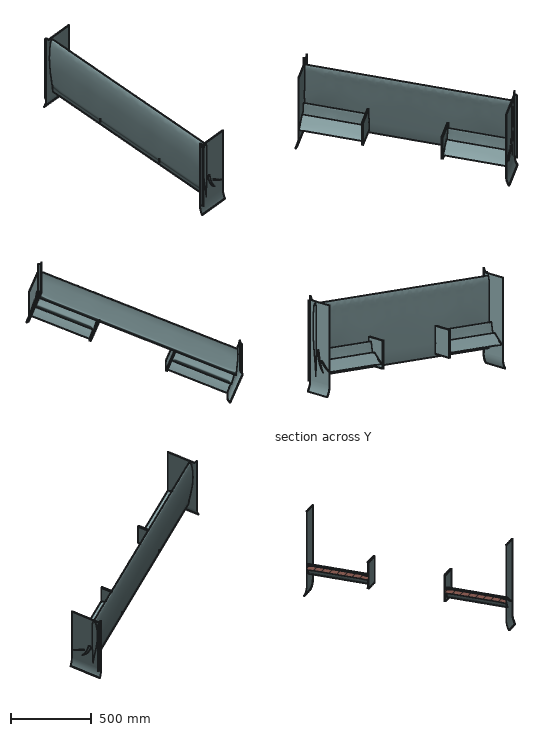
import cadquery as cq

SPAN = 1374.0
CHORD = 203.0
HEIGHT = 607.0
half_span = SPAN / 2
front_y = -CHORD / 2
rear_y = CHORD / 2
top_z = HEIGHT / 2
bottom_z = -HEIGHT / 2

plate_thickness = 4.0
plate_offset = 22.0
inner_x = half_span - plate_offset
outer_x = inner_x + plate_thickness
horn_height = 26.0
horn_length = 19.0
horn_tip_length = 4.0
plate_top_z = top_z - horn_height
foot_height = 70.0
fold_z = bottom_z + foot_height
knee_depth = 20.0
knee_lean = 1.0

strip_depth = 12.0
strip_thickness = 3.0
lip_width = 4.0
lip_y = front_y + strip_depth - strip_thickness

inner_plate_x = 261.0
inner_plate_thickness = 10.0
inner_plate_front_y = -41.0
inner_plate_bottom_z = -179.0
inner_plate_top_z = 0.0

MAIN_SECTION = [[
    (-44.0, -198.0), (-40.0, -56.0), (-38.0, 82.0), (-40.0, 210.0), (-44.0, 253.0), (-51.0, 264.0),
    (-60.0, 254.0), (-66.0, 236.0), (-73.0, 169.0), (-73.0, 65.0), (-63.0, -40.0), (-51.0, -132.0), (-44.0, -198.0),
]]
MIDDLE_FLAP_SECTION = [[
    (32.0, -164.0), (7.0, -115.0), (-5.0, -73.0), (-11.0, -44.0), (-19.0, -26.0),
    (-27.0, -37.0), (-26.0, -56.0), (-12.0, -99.0), (8.0, -137.0), (32.0, -164.0),
]]
REAR_FLAP_SECTION = [
    [(rear_y, -148.0), (78.0, -136.0), (51.0, -114.0), (19.0, -88.0)],
    [(18.0, -99.0), (41.0, -118.0), (70.0, -136.0), (rear_y, -148.0)],
]


def wing(section, start_x, end_x):
    """Extrude a wing section along X, joining separate curves with straight lines."""
    outline = cq.Workplane("YZ", origin=(start_x, 0, 0)).moveTo(*section[0][0])
    for index, curve in enumerate(section):
        if index > 0:
            outline = outline.lineTo(*curve[0])
        outline = outline.spline(curve[1:], includeCurrent=True)
    return outline.close().extrude(end_x - start_x)


def end_plate():
    """Right end plate with its front horn, flared foot and angled strip."""
    sheet = (
        cq.Workplane("YZ", origin=(inner_x, 0, 0))
        .moveTo(rear_y, fold_z)
        .lineTo(rear_y, plate_top_z)
        .lineTo(front_y + horn_length, plate_top_z)
        .lineTo(front_y + horn_tip_length, top_z)
        .lineTo(front_y, top_z)
        .lineTo(front_y, fold_z)
        .close()
        .extrude(plate_thickness)
    )
    knee_z = fold_z - knee_depth
    foot = (
        cq.Workplane("XZ", origin=(0, rear_y, 0))
        .moveTo(inner_x, fold_z)
        .threePointArc((inner_x + knee_lean, knee_z), (half_span - plate_thickness, bottom_z))
        .lineTo(half_span, bottom_z)
        .threePointArc((outer_x + knee_lean, knee_z), (outer_x, fold_z))
        .close()
        .extrude(CHORD)
    )
    strip = (
        cq.Workplane("XY", origin=(0, 0, fold_z))
        .moveTo(inner_x, front_y)
        .lineTo(outer_x, front_y)
        .lineTo(half_span - lip_width, lip_y)
        .lineTo(half_span, lip_y)
        .lineTo(half_span, lip_y + strip_thickness)
        .lineTo(half_span - lip_width, lip_y + strip_thickness)
        .lineTo(inner_x, front_y + strip_thickness)
        .close()
        .extrude(plate_top_z - fold_z)
    )
    return sheet.union(foot).union(strip)


def inner_plate():
    """Right inner plate joining the flaps to the main wing."""
    return cq.Workplane("XY").box(
        inner_plate_thickness,
        rear_y - inner_plate_front_y,
        inner_plate_top_z - inner_plate_bottom_z,
        centered=False,
    ).translate((inner_plate_x - inner_plate_thickness, inner_plate_front_y, inner_plate_bottom_z))


right_side = end_plate().union(inner_plate())
for section in (MIDDLE_FLAP_SECTION, REAR_FLAP_SECTION):
    right_side = right_side.union(wing(section, inner_plate_x, inner_x))

result = wing(MAIN_SECTION, -inner_x, inner_x).union(right_side).union(right_side.mirror("YZ"))